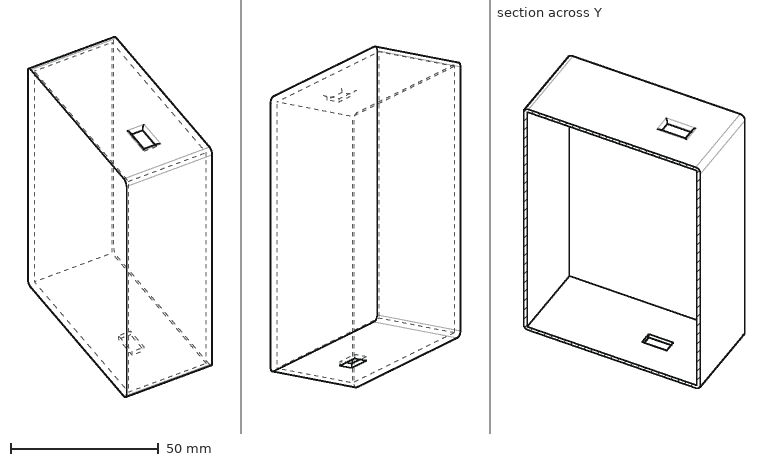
import cadquery as cq

width = 68.2
depth = 33.3
height = 98.0
corner_radius = 2.0
wall = 1.6

window_length = 9.4
window_width = 4.7
window_x = 16.9
window_y = -0.4
rim_radius = 1.1

bottom_opening_x = 10.3
bottom_opening_y = -1.5


def hollow_box():
    """Box with rounded edges along Y and a closed rectangular cavity."""
    shell = cq.Workplane("XY").box(width, depth, height).edges("|Y").fillet(corner_radius)
    cavity = cq.Workplane("XY").box(width - 2 * wall, depth - 2 * wall, height - 2 * wall)
    return shell.cut(cavity)


def wall_opening(x, y, wall_centre_z):
    """Rectangular cutter that passes through one end wall."""
    cutter = cq.Workplane("XY").box(window_length, window_width, wall)
    return cutter.translate((x, y, wall_centre_z))


wall_centre_z = (height - wall) / 2
enclosure = hollow_box().cut(wall_opening(window_x, window_y, wall_centre_z))

rim_box = cq.selectors.BoxSelector(
    (window_x - window_length, window_y - window_width, height / 2 - wall / 4),
    (window_x + window_length, window_y + window_width, height / 2 + wall / 4),
)
enclosure = enclosure.edges(rim_box).fillet(rim_radius)

result = enclosure.cut(wall_opening(bottom_opening_x, bottom_opening_y, -wall_centre_z))